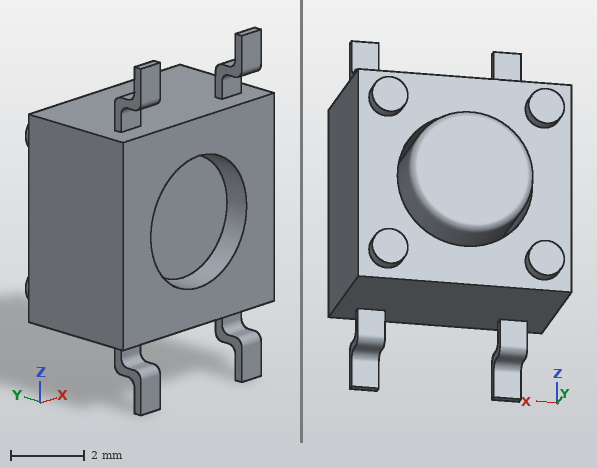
import cadquery as cq

housing_width = 6.0
housing_depth = 3.58
cover_thickness = 0.56
base_depth = housing_depth - cover_thickness
bore_diameter = 3.8

peg_diameter = 1.0
peg_height = 0.4
peg_spacing = 4.4

lead_width = 0.77
lead_thickness = 0.25
lead_bend_radius = 0.25
lead_spacing = 4.0
lead_step = 1.0
lead_tip_length = 1.0
lead_standoff = 0.09
overall_height = 10.0

button_diameter = 3.5
button_protrusion = 0.87
button_recess = 0.6
button_edge_radius = 0.2


def y_cylinder(diameter, y_start, y_end, centers=((0, 0),)):
    """Cylinders along +Y at the given (x, z) centers."""
    plane = cq.Workplane("XZ", origin=(0, y_start, 0))
    return plane.pushPoints(centers).circle(diameter / 2).extrude(y_start - y_end)


def y_block(y_start, y_end):
    """Square housing slab between two Y positions."""
    plane = cq.Workplane("XZ", origin=(0, y_start, 0))
    return plane.rect(housing_width, housing_width).extrude(y_start - y_end)


def make_upper_lead(x_center):
    """S-bent strip rising from the +Z side of the housing."""
    y_tip = -lead_standoff
    y_root = y_tip + lead_step
    z_root = housing_width / 2
    z_tip = overall_height / 2
    z_web_top = z_tip - lead_tip_length
    z_web_bottom = z_web_top - lead_thickness
    outline = [
        (y_root, z_root),
        (y_root, z_web_top),
        (y_tip + lead_thickness, z_web_top),
        (y_tip + lead_thickness, z_tip),
        (y_tip, z_tip),
        (y_tip, z_web_bottom),
        (y_root - lead_thickness, z_web_bottom),
        (y_root - lead_thickness, z_root),
    ]
    strip = (
        cq.Workplane("YZ", origin=(x_center - lead_width / 2, 0, 0))
        .polyline(outline)
        .close()
        .extrude(lead_width)
    )
    bend_zone = cq.selectors.BoxSelector(
        (x_center - lead_width, y_tip - lead_thickness, z_web_bottom - lead_thickness),
        (x_center + lead_width, y_root + lead_thickness, z_web_top + lead_thickness),
    )
    return strip.edges("|X").edges(bend_zone).fillet(lead_bend_radius)


def make_housing():
    """Base, cover, pegs and leads as one solid with a through bore."""
    base = y_block(0, base_depth)
    cover = y_block(base_depth, housing_depth)
    body = base.union(cover, clean=False)

    half_pegs = peg_spacing / 2
    peg_centers = [(x, z) for x in (-half_pegs, half_pegs) for z in (-half_pegs, half_pegs)]
    pegs = y_cylinder(peg_diameter, housing_depth, housing_depth + peg_height, peg_centers)
    body = body.union(pegs, clean=False)

    for x_center in (-lead_spacing / 2, lead_spacing / 2):
        upper_lead = make_upper_lead(x_center)
        body = body.union(upper_lead, clean=False)
        body = body.union(upper_lead.mirror("XY"), clean=False)

    bore = y_cylinder(bore_diameter, 0, housing_depth)
    return body.cut(bore, clean=False)


def make_button():
    """Round button with a rounded rim on its +Y end."""
    button = y_cylinder(button_diameter, button_recess, housing_depth + button_protrusion)
    return button.faces(">Y").edges().fillet(button_edge_radius)


housing = make_housing()
button = make_button()

result = cq.Compound.makeCompound([housing.val(), button.val()])